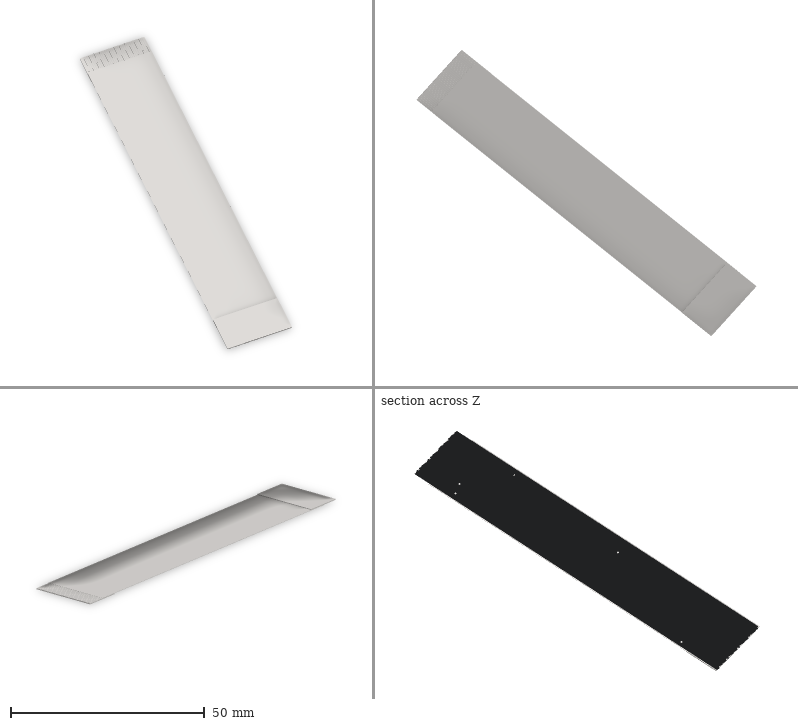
import cadquery as cq


length = 100.0
width = 18.0
thickness = 0.59

conductor_count = 35
conductor_pitch = 0.5
conductor_width = 0.3
conductor_thickness = 0.05

film_thickness = 0.045
contact_length = 5.0
stiffener_length = 10.0
stiffener_thickness = (thickness - conductor_thickness - 2 * film_thickness) / 2

lower_film_z = stiffener_thickness
conductor_z = lower_film_z + film_thickness
upper_film_z = conductor_z + conductor_thickness
upper_stiffener_z = upper_film_z + film_thickness


def strip(x_start, x_end, z_bottom, height, strip_width=width, y_center=0.0):
    """A flat strip along X, centred across its width on y_center."""
    return (
        cq.Workplane("XY")
        .box(x_end - x_start, strip_width, height, centered=(False, True, False))
        .translate((x_start, y_center, z_bottom))
    )


def conductor(index):
    """One conductor running the full length of the cable."""
    y_center = (index - (conductor_count - 1) / 2) * conductor_pitch
    return strip(0, length, conductor_z, conductor_thickness, conductor_width, y_center)


lower_film = strip(0, length - contact_length, lower_film_z, film_thickness)
upper_film = strip(contact_length, length, upper_film_z, film_thickness)

lower_stiffener = strip(0, stiffener_length, 0, stiffener_thickness)
upper_stiffener = strip(length - stiffener_length, length, upper_stiffener_z, stiffener_thickness)

conductors = [conductor(index).val() for index in range(conductor_count)]
covers = lower_film.union(lower_stiffener).union(upper_film).union(upper_stiffener)
result = cq.Workplane(covers.val().fuse(*conductors).Solids()[0])